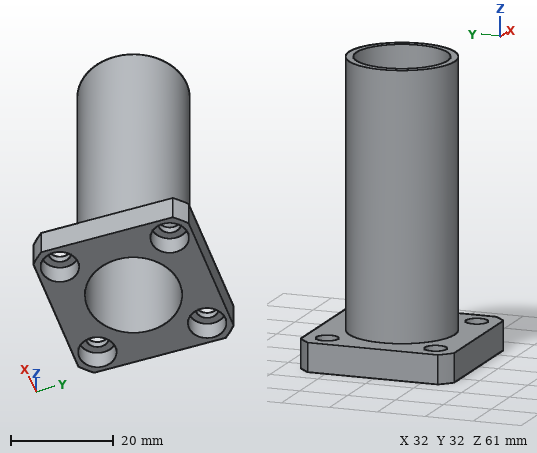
import cadquery as cq

total_height = 61.0
flange_width = 32.0
flange_thickness = 6.0
flange_corner_diameter = 41.95

tube_diameter = 22.0
bore_diameter = 19.0

hole_diameter = 4.5
hole_spacing = 22.65
counterbore_diameter = 7.5
hole_land = 1.6
counterbore_depth = flange_thickness - hole_land


def make_cylinder(diameter, height):
    """Cylinder on the part axis, standing on Z = 0."""
    return cq.Workplane("XY").circle(diameter / 2).extrude(height)


def make_flange():
    """Square flange on Z = 0 whose corners are turned to a common circle."""
    plate = cq.Workplane("XY").rect(flange_width, flange_width).extrude(flange_thickness)
    return plate.intersect(make_cylinder(flange_corner_diameter, flange_thickness))


def make_hole_pattern(diameter, depth):
    """Cutters for the four mounting positions, rising from the flange underside."""
    return (
        cq.Workplane("XY")
        .rect(hole_spacing, hole_spacing, forConstruction=True)
        .vertices()
        .circle(diameter / 2)
        .extrude(depth)
    )


body = make_flange().union(make_cylinder(tube_diameter, total_height))
body = body.cut(make_cylinder(bore_diameter, total_height))
body = body.cut(make_hole_pattern(hole_diameter, flange_thickness))
result = body.cut(make_hole_pattern(counterbore_diameter, counterbore_depth))